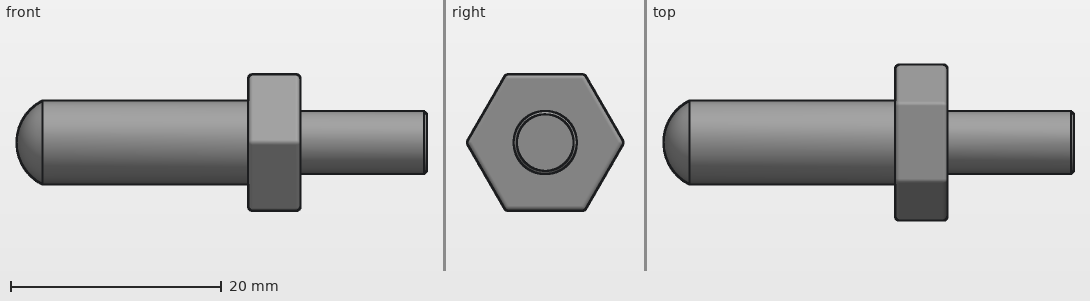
import cadquery as cq
import math

total_length = 39.0
stud_length = 12.0
hex_thickness = 5.0
pin_length = total_length - stud_length - hex_thickness

pin_radius = 8.0 / 2
stud_radius = 6.0 / 2
hex_across_flats = 13.0
hex_across_corners = hex_across_flats / math.cos(math.pi / 6)

dome_height = 2.5
hex_edge_radius = 0.45
stud_chamfer = 0.3

tip_x = -total_length / 2
dome_base_x = tip_x + dome_height
hex_start_x = tip_x + pin_length
hex_end_x = hex_start_x + hex_thickness


def make_domed_pin():
    """Round pin whose free end is a shallow spherical cap."""
    sphere_radius = (pin_radius**2 + dome_height**2) / (2 * dome_height)
    half_angle = math.asin(pin_radius / sphere_radius) / 2
    arc_middle = (
        tip_x + sphere_radius * (1 - math.cos(half_angle)),
        sphere_radius * math.sin(half_angle),
    )
    return (
        cq.Workplane("XY")
        .moveTo(tip_x, 0)
        .threePointArc(arc_middle, (dome_base_x, pin_radius))
        .lineTo(hex_start_x, pin_radius)
        .lineTo(hex_start_x, 0)
        .close()
        .revolve(360, (0, 0, 0), (1, 0, 0))
    )


def make_hex_collar():
    """Hexagon with flats facing up and down, rounded on every edge."""
    return (
        cq.Workplane("YZ", origin=(hex_start_x, 0, 0))
        .polygon(6, hex_across_corners)
        .extrude(hex_thickness)
        .edges()
        .fillet(hex_edge_radius)
    )


def make_stud():
    """Thinner round stud with a chamfered free end."""
    return (
        cq.Workplane("YZ", origin=(hex_end_x, 0, 0))
        .circle(stud_radius)
        .extrude(stud_length)
        .faces(">X")
        .chamfer(stud_chamfer)
    )


result = make_domed_pin().union(make_hex_collar()).union(make_stud())